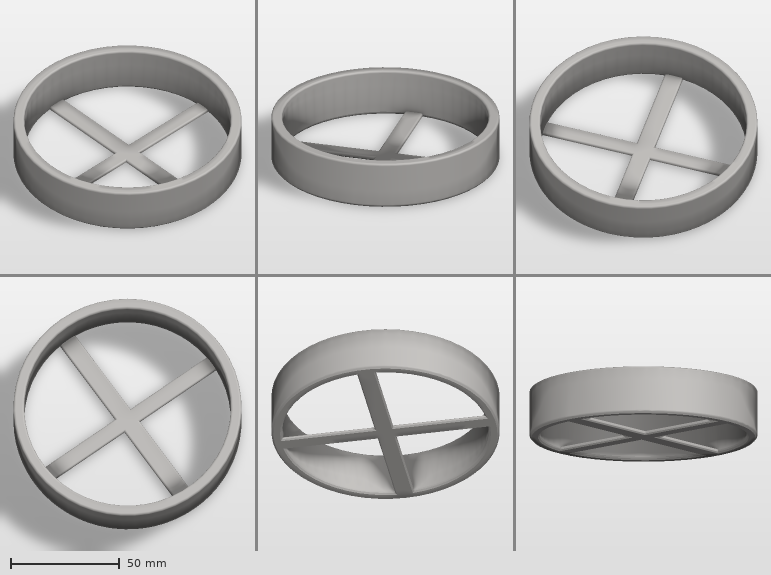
import cadquery as cq

outer_diameter = 105.0
inner_diameter = 95.0
ring_height = 22.0
rim_fillet = 1.0

base_chamfer = 1.0
blend_radius = 1.0

x_bar_width = 8.6
y_bar_width = 7.4
bar_thickness = 2.0
bar_fillet = 0.8
bar_chamfer = 0.6


def make_ring():
    """Ring with rounded top edges and bevels that blend into its walls at the bottom."""
    ring = (
        cq.Workplane("XY")
        .circle(outer_diameter / 2)
        .circle(inner_diameter / 2)
        .extrude(ring_height)
    )
    ring = ring.faces(">Z").edges().fillet(rim_fillet)
    ring = ring.faces("<Z").edges().chamfer(base_chamfer)

    outer_radius = outer_diameter / 2
    bevel_zone = cq.selectors.BoxSelector(
        (-outer_radius, -outer_radius, base_chamfer / 2),
        (outer_radius, outer_radius, base_chamfer * 1.5),
    )
    bevel_edges = ring.edges("%CIRCLE").edges(bevel_zone)
    return bevel_edges.fillet(blend_radius)


def make_cross():
    """Two crossed bars, rounded above and bevelled below, ending inside the ring wall."""
    bar_length = outer_diameter
    x_bar = cq.Workplane("XY").rect(bar_length, x_bar_width).extrude(bar_thickness)
    y_bar = cq.Workplane("XY").rect(y_bar_width, bar_length).extrude(bar_thickness)
    cross = x_bar.union(y_bar)
    cross = cross.faces(">Z").edges().fillet(bar_fillet)
    cross = cross.faces("<Z").edges().chamfer(bar_chamfer)

    wall_middle_radius = (outer_diameter + inner_diameter) / 4
    trim = cq.Workplane("XY").circle(wall_middle_radius).extrude(bar_thickness)
    return cross.intersect(trim)


result = make_ring().union(make_cross())